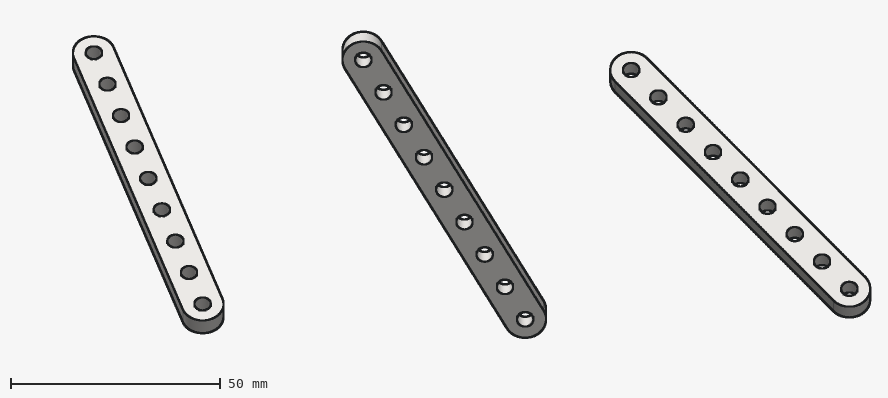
import cadquery as cq

hole_count = 9
hole_pitch = 10.0
hole_diameter = 3.9
bar_width = 10.0
bar_thickness = 5.0

hole_span = (hole_count - 1) * hole_pitch
bar_length = hole_span + bar_width


def make_bar():
    """Flat bar with fully rounded ends, resting on Z = 0."""
    return cq.Workplane("XY").slot2D(bar_length, bar_width).extrude(bar_thickness)


def drill_holes(bar):
    """Evenly spaced row of through holes along the bar's centre line."""
    return (
        bar.faces(">Z")
        .workplane(origin=(0, 0, bar_thickness))
        .rarray(hole_pitch, bar_width, hole_count, 1)
        .hole(hole_diameter)
    )


result = drill_holes(make_bar())